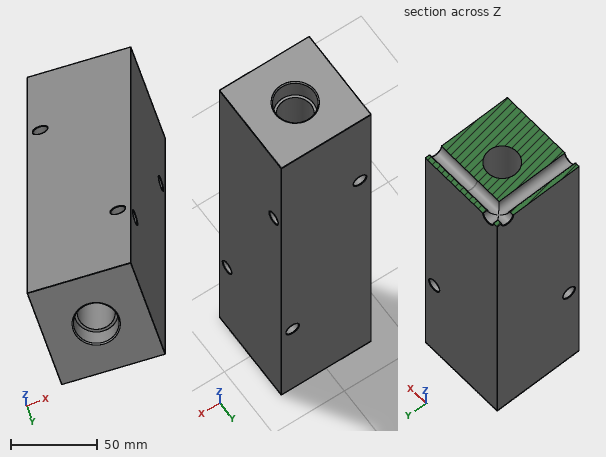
import cadquery as cq

length = 266.7
width = 63.5
edge_chamfer = 0.3

bore_diameter = 22.1
counterbore_mouth_diameter = 26.5
counterbore_floor_diameter = 25.5
counterbore_depth = 14.0
mouth_chamfer = 0.8

cross_hole_diameter = 8.8
cross_hole_chamfer = 0.4
cross_hole_offset = 23.7
cross_hole_height = 63.5


def make_block():
    """Square bar centred on the origin, long axis on Z, with all edges broken."""
    return cq.Workplane("XY").box(width, width, length).edges().chamfer(edge_chamfer)


def chamfered_cutter(floor_diameter, mouth_diameter, chamfer, start, end):
    """Solid of revolution about Z between two heights, flared by a 45 degree chamfer at its upper end."""
    floor_radius = floor_diameter / 2
    mouth_radius = mouth_diameter / 2
    return (
        cq.Workplane("XZ")
        .moveTo(0, start)
        .lineTo(floor_radius, start)
        .lineTo(mouth_radius, end - chamfer)
        .lineTo(mouth_radius + chamfer, end)
        .lineTo(0, end)
        .close()
        .revolve(360, (0, 0, 0), (0, 1, 0))
    )


def make_bore():
    """Through bore with an equal tapered, chamfered counterbore at each end."""
    bore = cq.Workplane("XY").circle(bore_diameter / 2).extrude(length / 2, both=True)
    counterbore = chamfered_cutter(
        counterbore_floor_diameter,
        counterbore_mouth_diameter,
        mouth_chamfer,
        start=length / 2 - counterbore_depth,
        end=length / 2,
    )
    return bore.union(counterbore).union(counterbore.mirror("XY"))


def make_cross_hole():
    """Cutter across the block along Z, chamfered where it leaves each face."""
    half = chamfered_cutter(
        cross_hole_diameter, cross_hole_diameter, cross_hole_chamfer, start=0, end=width / 2
    )
    return half.union(half.mirror("XY"))


result = make_block().cut(make_bore())

hole_along_y = make_cross_hole().rotate((0, 0, 0), (1, 0, 0), 90)
hole_along_x = make_cross_hole().rotate((0, 0, 0), (0, 1, 0), 90)
for side in (1, -1):
    offset = side * cross_hole_offset
    height = side * cross_hole_height
    result = result.cut(hole_along_y.translate((-offset, 0, height)))
    result = result.cut(hole_along_x.translate((0, offset, height)))